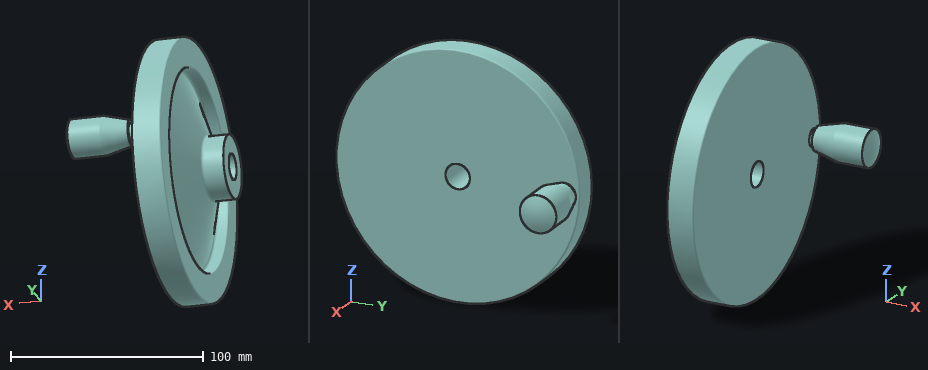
import cadquery as cq
import math

wheel_diameter = 140.0
rim_start = 18.1
rim_end = 33.9
rim_edge_radius = 1.0

recess_radius = 107.8 / 2
recess_edge_radius = 0.9
recess_corner_radius = 1.5
cone_start = 11.5
cone_slope = 0.38

hub_diameter = 34.0
hub_fillet_radius = 1.3
bore_diameter = 14.0

handle_offset = 62.0
neck_radius = 10.1 / 2
grip_start = 36.5
grip_end_radius = 14.0 / 2
grip_radius = 21.0 / 2
taper_end = 50.5
dome_start = 68.1
handle_end = 70.7


def revolve_about_x(profile, offset=0):
    """Revolve a closed (X, radius) profile about an axis parallel to X."""
    return profile.close().revolve(360, (0, 0, 0), (1, 0, 0)).translate((0, offset, 0))


def make_wheel():
    hub_radius = hub_diameter / 2
    cone_end = cone_start + cone_slope * (recess_radius - hub_radius)
    profile = (
        cq.Workplane("XY")
        .moveTo(0, 0)
        .lineTo(0, hub_radius)
        .lineTo(cone_start, hub_radius)
        .lineTo(cone_end, recess_radius)
        .lineTo(rim_start, recess_radius)
        .lineTo(rim_start, wheel_diameter / 2)
        .lineTo(rim_end, wheel_diameter / 2)
        .lineTo(rim_end, 0)
    )
    wheel = revolve_about_x(profile)

    def edges_at(x, radius):
        """Select the circular edge with the given axial position and radius."""
        tolerance = 0.01
        return wheel.edges("%CIRCLE").filter(
            lambda edge: math.isclose(edge.Center().x, x, abs_tol=tolerance)
            and math.isclose(edge.radius(), radius, abs_tol=tolerance)
        )

    wheel = edges_at(cone_start, hub_radius).fillet(hub_fillet_radius)
    wheel = edges_at(cone_end, recess_radius).fillet(recess_corner_radius)
    wheel = edges_at(rim_start, recess_radius).fillet(recess_edge_radius)
    for rim_face in (rim_start, rim_end):
        wheel = edges_at(rim_face, wheel_diameter / 2).fillet(rim_edge_radius)
    return wheel


def make_handle():
    dome_height = handle_end - dome_start
    dome_radius = (grip_radius**2 + dome_height**2) / (2 * dome_height)
    mid_angle = math.asin(grip_radius / dome_radius) / 2
    dome_middle = (
        handle_end - dome_radius * (1 - math.cos(mid_angle)),
        dome_radius * math.sin(mid_angle),
    )
    neck_root = (rim_start + rim_end) / 2
    profile = (
        cq.Workplane("XY")
        .moveTo(neck_root, 0)
        .lineTo(neck_root, neck_radius)
        .lineTo(grip_start, neck_radius)
        .lineTo(grip_start, grip_end_radius)
        .lineTo(taper_end, grip_radius)
        .lineTo(dome_start, grip_radius)
        .threePointArc(dome_middle, (handle_end, 0))
    )
    return revolve_about_x(profile, handle_offset)


bore = cq.Workplane("YZ").circle(bore_diameter / 2).extrude(rim_end)

result = make_wheel().cut(bore).union(make_handle())